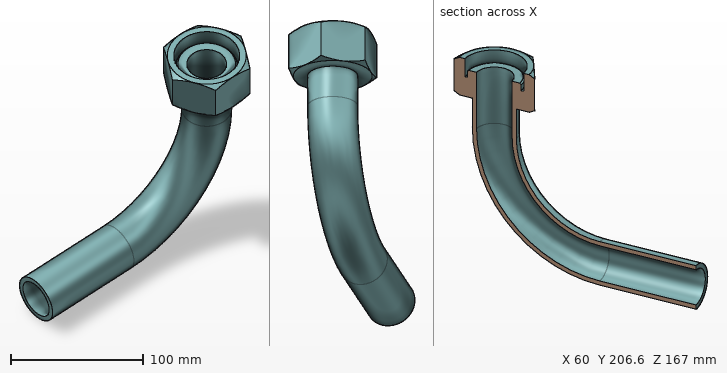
import cadquery as cq
import math

tube_diameter = 38.0
bore_diameter = 30.0
total_length = 206.6
total_height = 167.0

nut_across_flats = 60.0
nut_height = 32.9
nut_bore_diameter = 49.8
nut_bore_depth = 15.5
nut_face_diameter = 59.7
nut_chamfer_angle = 30.0

collar_diameter = 46.0
collar_face_diameter = 43.5
collar_face_depth = 9.3

bend_start_depth = 57.9
nut_across_corners = nut_across_flats / math.cos(math.radians(30))
bend_radius = total_height - tube_diameter / 2 - bend_start_depth
horizontal_leg = total_length - nut_across_corners / 2 - bend_radius


def swept_rod(diameter, start_depth):
    """Solid round rod along the tube centreline, starting below the nut top face."""
    bend_offset = bend_radius * math.sin(math.radians(45))
    bend_middle = (bend_offset - bend_radius, -bend_start_depth - bend_offset)
    bend_end = (-bend_radius, -bend_start_depth - bend_radius)
    centreline = (
        cq.Workplane("YZ")
        .moveTo(0, -start_depth)
        .lineTo(0, -bend_start_depth)
        .threePointArc(bend_middle, bend_end)
        .lineTo(bend_end[0] - horizontal_leg, bend_end[1])
    )
    return cq.Workplane("XY", origin=(0, 0, -start_depth)).circle(diameter / 2).sweep(centreline)


def union_nut():
    """Hexagonal nut with conically chamfered corners and a blind bore from the top."""
    hexagon = (
        cq.Workplane("XY", origin=(0, 0, -nut_height))
        .polygon(6, nut_across_corners)
        .extrude(nut_height)
        .rotate((0, 0, 0), (0, 0, 1), 30)
    )
    face_radius = nut_face_diameter / 2
    corner_radius = nut_across_corners / 2
    corner_drop = (corner_radius - face_radius) * math.tan(math.radians(nut_chamfer_angle))
    chamfer_envelope = (
        cq.Workplane("XZ")
        .polyline([
            (0, 0),
            (face_radius, 0),
            (corner_radius, -corner_drop),
            (corner_radius, corner_drop - nut_height),
            (face_radius, -nut_height),
            (0, -nut_height),
        ])
        .close()
        .revolve(360, (0, 0, 0), (0, 1, 0))
    )
    bore = cq.Workplane("XY").circle(nut_bore_diameter / 2).extrude(-nut_bore_depth)
    return hexagon.intersect(chamfer_envelope).cut(bore)


def sealing_collar():
    """Collar with a chamfered rim, raised from the floor of the nut bore."""
    return (
        cq.Workplane("XY", origin=(0, 0, -nut_bore_depth))
        .circle(collar_diameter / 2)
        .extrude(nut_bore_depth - collar_face_depth)
        .faces(">Z")
        .chamfer((collar_diameter - collar_face_diameter) / 2)
    )


outside = union_nut().union(sealing_collar()).union(swept_rod(tube_diameter, nut_bore_depth))
result = outside.cut(swept_rod(bore_diameter, collar_face_depth))